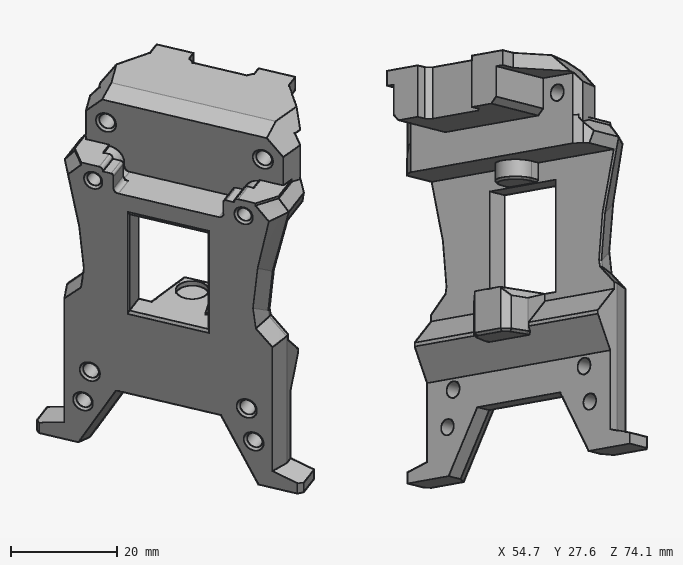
import cadquery as cq
TOTAL_HEIGHT = 74.1
TOTAL_DEPTH = 27.6

PLATE_BACK = 4.75
LEG_BACK = 5.9
TAPER_DEPTH = 4.0
LEG_HALF_WIDTH = 22.5
LEG_EDGE_INSET = 1.2
ARCH_TAPER_DEPTH = 2.45
FOOT_HALF_WIDTH = 27.35
FOOT_TIP_HEIGHT = 2.15
FOOT_ROOT_HEIGHT = 3.8
FOOT_CHAMFER = 0.9

FRONT_SHOULDER_Z = 31.65
FRONT_WAIST = [(17.9, 35.0), (17.35, 39.4), (18.3, 48.7)]
FRONT_EAR_TIP = (20.6, 59.75)
FRONT_EAR_BEVEL_X = 17.85
FLARED_SHOULDER_Z = 32.0
FLARED_WAIST = [(19.0, 35.6), (18.75, 36.9), (19.65, 45.95)]

FRONT_ARCH = (18.45, 10.75, 13.65)
INNER_ARCH = (17.2, 10.15, 12.3)

EAR_TOP = 63.15
EAR_BEVEL_TOP = 62.6
EAR_TIP_HALF_WIDTH = 23.0
EAR_TIP_Z = 60.1
EAR_BEVEL_HALF_WIDTH = 20.9
EAR_SIDE_BACK = 11.3
EAR_BACK = 12.8
EAR_BACK_HALF_WIDTH = 21.65

HEAD_FRONT = 7.7
HEAD_BACK = 13.8
HEAD_BOTTOM = 57.7
HEAD_HALF_WIDTH = 20.2
HEAD_SHOULDER_Z = 69.5
HEAD_FRONT_TOP = 72.9
HEAD_CORNER_X = 16.9
HEAD_FLARE = 0.26
HEAD_BEVEL_BACK = 12.1
HEAD_WIDEST_Y = 12.75
HEAD_BACK_HALF_WIDTH = 19.95
HOOD_BOTTOM = 71.2
HOOD_BACK = 24.45
HOOD_BACK_HALF_WIDTH = 14.2
HOOD_CORNER_X = 20.6
HOOD_CORNER_Y = 15.1
HOOD_CORE_HALF_WIDTH = 12.6
HOOD_CORE_BOTTOM = 64.2
HOOD_CORE_CHAMFER = 1.2
PRONG_GAP_HALF = 6.7
PRONG_CHAMFER = 1.1

NOTCH_FLOOR = 58.1
NOTCH_HALF_WIDTH = 11.3
NOTCH_FLOOR_FILLET = 1.0
NOTCH_EDGE_RADIUS = 0.5
NOTCH_STEP_Z = 62.25
NOTCH_STEP_HALF_WIDTH = 13.4
NOTCH_MOUTH_RADIUS = 0.8
EAR_BOSS_DIAMETER = 6.2

SHELF_BOSS_RADIUS = 3.85
SHELF_BOSS_Y = 6.8
SHELF_BOSS_BOTTOM = 53.95
SHELF_BOSS_CHAMFER = 0.45

RIB_BOTTOM = 18.7
RIB_LOWER_CREST_Z = 25.1
RIB_CREST_Z = 25.9
RIB_CREST_Y = 9.55
RIB_TOP = 30.75
BLOCK_TOP = 32.2
BLOCK_BOTTOM = 23.65
BLOCK_BACK = 15.0
BLOCK_HALF_WIDTH = 5.5
BLOCK_BEND_Y = 9.8
BLOCK_SHOULDER_Y = 13.6
BLOCK_SHOULDER_HALF_WIDTH = 4.6
BLOCK_EDGE_DROP = 1.6
BLOCK_BOTTOM_CHAMFER = 0.5
BLOCK_RECESS_DIAMETER = 6.2
BLOCK_RECESS_Y = 11.4
BLOCK_RECESS_DEPTH = 1.05

WINDOW_HALF_WIDTH = 8.1
WINDOW_BOTTOM = BLOCK_TOP
WINDOW_TOP = 53.8
WINDOW_SIDE_BEVEL = 0.3
WINDOW_END_BEVEL = 0.7
WINDOW_BEVEL_DEPTH = 0.3

HOLE_CHAMFER = 0.48
HEAD_HOLE = (16.1, 68.0, 3.2)
EAR_HOLE = (15.4, 59.75, 2.8)
UPPER_LEG_HOLE = (16.1, 16.5, 3.2)
LOWER_LEG_HOLE = (17.5, 9.5, 3.1)
EAR_HOLE_DEPTH = 5.9


def mirrored(right_side):
    """Close a half outline (right side, bottom to top) with its mirror image."""
    return right_side + [(-x, v) for x, v in reversed(right_side)]


def slab(outline, y_front, y_back):
    """Extrude an X-Z outline from y_front to y_back."""
    return cq.Workplane("XZ", origin=(0, y_front, 0)).polyline(outline).close().extrude(y_front - y_back)


def plan_slab(outline, z_bottom, z_top):
    """Extrude an X-Y outline from z_bottom to z_top."""
    return cq.Workplane("XY", origin=(0, 0, z_bottom)).polyline(outline).close().extrude(z_top - z_bottom)


def side_slab(outline, half_width):
    """Extrude a Y-Z outline symmetrically across X."""
    return cq.Workplane("YZ").polyline(outline).close().extrude(half_width, both=True)


def tapered(front_outline, back_outline, y_front, y_back):
    """Join two X-Z outlines with the same number of corners by ruled faces."""
    return (
        cq.Workplane("XZ", origin=(0, y_front, 0)).polyline(front_outline).close()
        .workplane(offset=y_front - y_back).polyline(back_outline).close()
        .loft(ruled=True)
    )


def box_between(x_range, y_range, z_range):
    """Box filling the given low-high range on each axis."""
    size = [high - low for low, high in (x_range, y_range, z_range)]
    corner = (x_range[0], y_range[0], z_range[0])
    return cq.Workplane("XY").box(*size, centered=False).translate(corner)


def plate_front_outline():
    inner_leg = LEG_HALF_WIDTH - LEG_EDGE_INSET
    return mirrored([
        (inner_leg, 0), (inner_leg, FRONT_SHOULDER_Z), *FRONT_WAIST, FRONT_EAR_TIP,
        (FRONT_EAR_BEVEL_X, EAR_BEVEL_TOP), (FRONT_EAR_BEVEL_X, EAR_TOP),
    ])


def plate_back_outline():
    return mirrored([
        (LEG_HALF_WIDTH, 0), (LEG_HALF_WIDTH, FLARED_SHOULDER_Z), *FLARED_WAIST,
        (EAR_TIP_HALF_WIDTH, EAR_TIP_Z), (EAR_BEVEL_HALF_WIDTH, EAR_BEVEL_TOP),
        (EAR_BEVEL_HALF_WIDTH, EAR_TOP),
    ])


def main_plate():
    flare = tapered(plate_front_outline(), plate_back_outline(), 0, TAPER_DEPTH)
    leg_backing = box_between(
        (-LEG_HALF_WIDTH, LEG_HALF_WIDTH), (TAPER_DEPTH, LEG_BACK), (0, RIB_BOTTOM)
    )
    return flare.union(slab(plate_back_outline(), TAPER_DEPTH, PLATE_BACK)).union(leg_backing)


def feet():
    outline = mirrored([
        (FOOT_HALF_WIDTH, 0), (FOOT_HALF_WIDTH, FOOT_TIP_HEIGHT),
        (LEG_HALF_WIDTH - LEG_EDGE_INSET, FOOT_ROOT_HEIGHT),
    ])
    return slab(outline, 0, LEG_BACK).edges("|Z and <Y").chamfer(FOOT_CHAMFER)


def arch_outline(floor_half_width, top_half_width, height):
    return mirrored([(floor_half_width, 0), (top_half_width, height)])


def leg_arch():
    inner = arch_outline(*INNER_ARCH)
    bevel = tapered(arch_outline(*FRONT_ARCH), inner, 0, ARCH_TAPER_DEPTH)
    return bevel.union(slab(inner, ARCH_TAPER_DEPTH, LEG_BACK))


def ears():
    plan = mirrored([
        (EAR_TIP_HALF_WIDTH, 0), (EAR_TIP_HALF_WIDTH, EAR_SIDE_BACK), (EAR_BACK_HALF_WIDTH, EAR_BACK),
        (HEAD_BACK_HALF_WIDTH, HEAD_BACK),
    ])
    extension = slab(plate_back_outline(), TAPER_DEPTH, HEAD_BACK)
    return extension.intersect(plan_slab(plan, HEAD_BOTTOM, EAR_TOP))


def head():
    growth = HEAD_FLARE * (HOOD_BACK - HEAD_FRONT)
    corner_x = HEAD_CORNER_X + HEAD_FRONT_TOP - TOTAL_HEIGHT
    front = mirrored([
        (HEAD_HALF_WIDTH, HEAD_BOTTOM), (HEAD_HALF_WIDTH, HEAD_SHOULDER_Z), (corner_x, TOTAL_HEIGHT),
    ])
    back = mirrored([
        (HEAD_HALF_WIDTH + growth, HEAD_BOTTOM), (HEAD_HALF_WIDTH + growth, HEAD_SHOULDER_Z),
        (corner_x + growth, TOTAL_HEIGHT),
    ])
    envelope = tapered(front, back, HEAD_FRONT, HOOD_BACK)
    front_bevel = side_slab(
        [(HEAD_FRONT, HEAD_FRONT_TOP), (HEAD_BEVEL_BACK, TOTAL_HEIGHT), (HEAD_FRONT, TOTAL_HEIGHT)],
        LEG_HALF_WIDTH,
    )
    plate_plan = mirrored([
        (LEG_HALF_WIDTH, HEAD_FRONT), (LEG_HALF_WIDTH, HEAD_WIDEST_Y),
        (EAR_BACK_HALF_WIDTH, HEAD_WIDEST_Y), (HEAD_BACK_HALF_WIDTH, HEAD_BACK),
    ])
    hood_plan = mirrored([
        (LEG_HALF_WIDTH, HEAD_FRONT), (LEG_HALF_WIDTH, HEAD_WIDEST_Y),
        (HOOD_CORNER_X, HOOD_CORNER_Y), (HOOD_BACK_HALF_WIDTH, HOOD_BACK),
    ])
    solid = plan_slab(plate_plan, HEAD_BOTTOM, TOTAL_HEIGHT).union(
        plan_slab(hood_plan, HOOD_BOTTOM, TOTAL_HEIGHT)
    )
    return solid.intersect(envelope).cut(front_bevel)


def hood_core_and_prongs():
    core = box_between(
        (-HOOD_CORE_HALF_WIDTH, HOOD_CORE_HALF_WIDTH), (HEAD_WIDEST_Y, TOTAL_DEPTH),
        (HOOD_CORE_BOTTOM, TOTAL_HEIGHT),
    ).edges("|Y and <Z").chamfer(HOOD_CORE_CHAMFER)
    prong_tips = box_between(
        (-HOOD_BACK_HALF_WIDTH, HOOD_BACK_HALF_WIDTH), (HOOD_BACK, TOTAL_DEPTH),
        (HOOD_BOTTOM, TOTAL_HEIGHT),
    )
    gap = mirrored([
        (PRONG_GAP_HALF - PRONG_CHAMFER, HOOD_BACK), (PRONG_GAP_HALF, HOOD_BACK + PRONG_CHAMFER),
        (PRONG_GAP_HALF, TOTAL_DEPTH),
    ])
    return core.union(prong_tips).cut(plan_slab(gap, HOOD_CORE_BOTTOM, TOTAL_HEIGHT))


def channel(half_width, y_range, z_bottom, fillet):
    """Cutter reaching up to the ear tops, with rounded lower edges."""
    box = box_between((-half_width, half_width), y_range, (z_bottom, EAR_TOP))
    return box.edges("|Y and <Z").fillet(fillet)


def round_shoulders(center_x, center_z, radius, top, y_range):
    """Cutter that leaves a rounded shoulder on both sides of a channel."""
    y_front, y_back = y_range
    rounds = (
        cq.Workplane("XZ", origin=(0, y_front, center_z))
        .pushPoints([(-center_x, 0), (center_x, 0)]).circle(radius).extrude(y_front - y_back)
    )
    return box_between((-center_x, center_x), y_range, (center_z, top)).cut(rounds)


def ear_notch():
    front_y = (0, PLATE_BACK)
    front = channel(NOTCH_HALF_WIDTH, front_y, NOTCH_FLOOR, NOTCH_FLOOR_FILLET)
    step = box_between(
        (-NOTCH_STEP_HALF_WIDTH, NOTCH_STEP_HALF_WIDTH), front_y, (NOTCH_STEP_Z, EAR_TOP)
    )
    step_edge = round_shoulders(
        NOTCH_HALF_WIDTH + NOTCH_EDGE_RADIUS, NOTCH_STEP_Z - NOTCH_EDGE_RADIUS,
        NOTCH_EDGE_RADIUS, NOTCH_STEP_Z, front_y,
    )
    mouth = round_shoulders(
        NOTCH_STEP_HALF_WIDTH + NOTCH_MOUTH_RADIUS, EAR_TOP - NOTCH_MOUTH_RADIUS,
        NOTCH_MOUTH_RADIUS, EAR_TOP, front_y,
    )
    front = front.union(step).union(step_edge).union(mouth)

    rear_y = (PLATE_BACK, HEAD_FRONT)
    hole_x, hole_z, _ = EAR_HOLE
    boss_radius = EAR_BOSS_DIAMETER / 2
    rear = channel(hole_x - boss_radius, rear_y, NOTCH_FLOOR, NOTCH_FLOOR_FILLET)
    return front.union(rear).union(round_shoulders(hole_x, hole_z, boss_radius, EAR_TOP, rear_y))


def shelf_boss():
    """Round-backed boss hanging from the shelf and merging into the plate."""
    boss = (
        cq.Workplane("XY", origin=(0, 0, SHELF_BOSS_BOTTOM))
        .moveTo(-SHELF_BOSS_RADIUS, TAPER_DEPTH)
        .lineTo(SHELF_BOSS_RADIUS, TAPER_DEPTH).lineTo(SHELF_BOSS_RADIUS, SHELF_BOSS_Y)
        .threePointArc((0, SHELF_BOSS_Y + SHELF_BOSS_RADIUS), (-SHELF_BOSS_RADIUS, SHELF_BOSS_Y))
        .close().extrude(HEAD_BOTTOM - SHELF_BOSS_BOTTOM)
    )
    return boss.faces("<Z").edges("not <Y").chamfer(SHELF_BOSS_CHAMFER)


def rear_rib():
    profile = [
        (TAPER_DEPTH, RIB_BOTTOM), (LEG_BACK, RIB_BOTTOM), (RIB_CREST_Y, RIB_LOWER_CREST_Z),
        (RIB_CREST_Y, RIB_CREST_Z), (PLATE_BACK, RIB_TOP), (TAPER_DEPTH, RIB_TOP),
    ]
    return side_slab(profile, LEG_HALF_WIDTH)


def rear_block():
    taper = (BLOCK_HALF_WIDTH - BLOCK_SHOULDER_HALF_WIDTH) / (BLOCK_SHOULDER_Y - BLOCK_BEND_Y)
    back_half_width = BLOCK_SHOULDER_HALF_WIDTH - (BLOCK_BACK - BLOCK_SHOULDER_Y)
    plan = mirrored([
        (BLOCK_HALF_WIDTH, TAPER_DEPTH), (BLOCK_HALF_WIDTH, BLOCK_BEND_Y),
        (BLOCK_SHOULDER_HALF_WIDTH, BLOCK_SHOULDER_Y), (back_half_width, BLOCK_BACK),
    ])
    block = plan_slab(plan, BLOCK_BOTTOM, BLOCK_TOP)
    block = block.faces("<Z").edges("not <Y").chamfer(BLOCK_BOTTOM_CHAMFER)
    cutter_width = 2 * taper * (BLOCK_BEND_Y - PLATE_BACK)
    cutter_height = 2 * BLOCK_EDGE_DROP
    shift = taper * (BLOCK_BACK - PLATE_BACK)
    for side in (-1, 1):
        outer_x = side * (BLOCK_HALF_WIDTH + cutter_width)
        near = [
            (side * BLOCK_HALF_WIDTH, BLOCK_TOP), (outer_x, BLOCK_TOP), (outer_x, BLOCK_TOP - cutter_height),
        ]
        far = [(x - side * shift, z) for x, z in near]
        block = block.cut(tapered(near, far, PLATE_BACK, BLOCK_BACK))
    recess = (
        cq.Workplane("XY", origin=(0, BLOCK_RECESS_Y, BLOCK_TOP))
        .circle(BLOCK_RECESS_DIAMETER / 2).extrude(-BLOCK_RECESS_DEPTH)
    )
    return block.cut(recess)


def window():
    def opening(side_growth, end_growth):
        half = WINDOW_HALF_WIDTH + side_growth
        return mirrored([(half, WINDOW_BOTTOM - end_growth), (half, WINDOW_TOP + end_growth)])

    straight = opening(0, 0)
    bevel = tapered(opening(WINDOW_SIDE_BEVEL, WINDOW_END_BEVEL), straight, 0, WINDOW_BEVEL_DEPTH)
    return bevel.union(slab(straight, 0, PLATE_BACK))


def screw_holes(hole, y_front, depth):
    """Mirrored pair of holes along Y with a chamfered mouth."""
    half_spacing, height, diameter = hole
    centers = [(-half_spacing, height), (half_spacing, height)]
    face = cq.Workplane("XZ", origin=(0, y_front, 0)).pushPoints(centers)
    shafts = face.circle(diameter / 2).extrude(-depth)
    for center in centers:
        cone = cq.Solid.makeCone(
            diameter / 2 + HOLE_CHAMFER, diameter / 2, HOLE_CHAMFER,
            cq.Vector(center[0], y_front, center[1]), cq.Vector(0, 1, 0),
        )
        shafts = shafts.union(cq.Workplane(cone))
    return shafts


result = (
    main_plate().union(feet()).union(rear_rib()).union(ears()).cut(ear_notch())
    .union(head()).union(hood_core_and_prongs()).union(shelf_boss())
    .cut(leg_arch()).cut(window()).union(rear_block())
    .cut(screw_holes(HEAD_HOLE, HEAD_FRONT, TOTAL_DEPTH))
    .cut(screw_holes(EAR_HOLE, 0, EAR_HOLE_DEPTH))
    .cut(screw_holes(UPPER_LEG_HOLE, 0, TOTAL_DEPTH))
    .cut(screw_holes(LOWER_LEG_HOLE, 0, TOTAL_DEPTH))
)